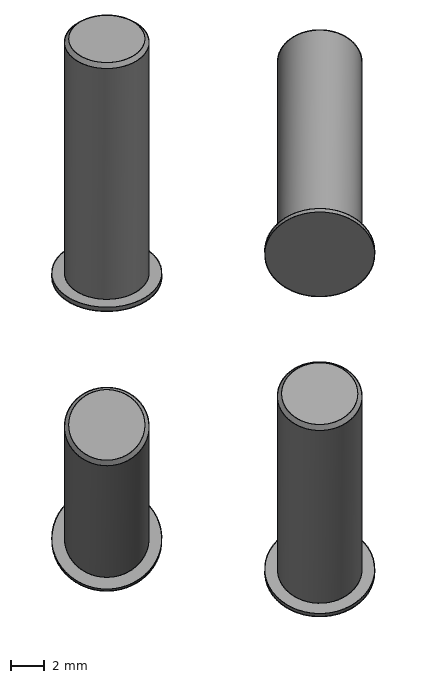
import cadquery as cq

total_height = 18.0
flange_diameter = 6.5
flange_thickness = 0.32
pin_diameter = 5.0
tip_chamfer = 0.25

flange = cq.Workplane("XY").circle(flange_diameter / 2).extrude(flange_thickness)

pin = (
    cq.Workplane("XY")
    .circle(pin_diameter / 2)
    .extrude(total_height)
    .faces(">Z")
    .chamfer(tip_chamfer)
)

result = flange.union(pin)